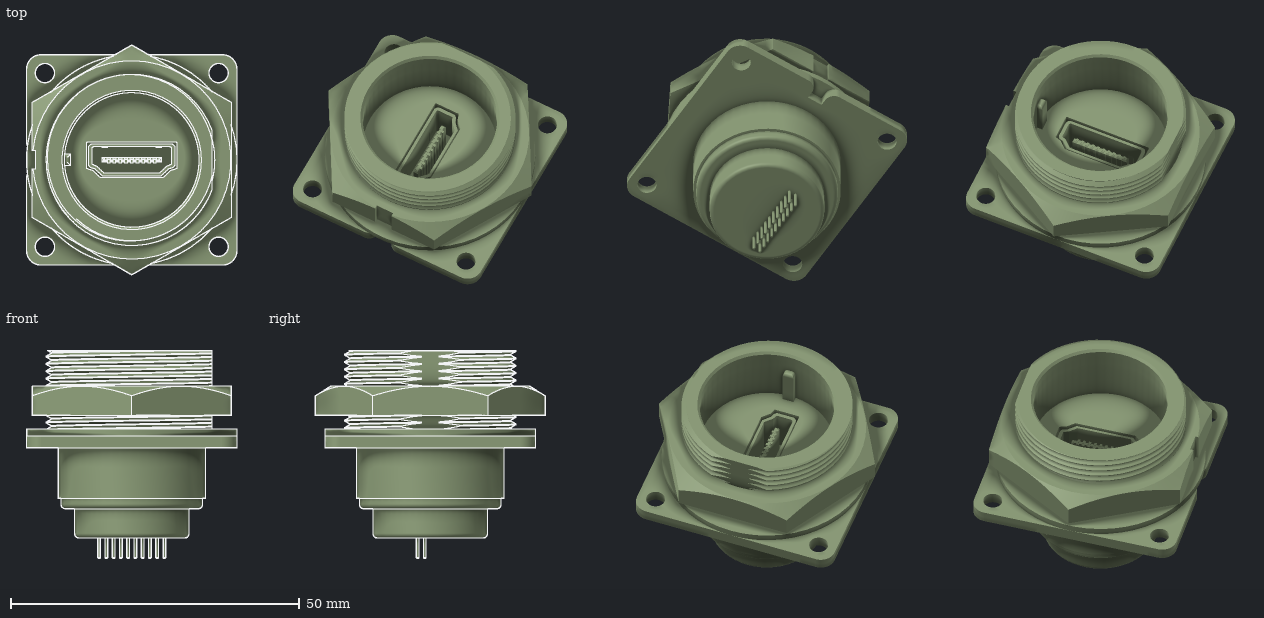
import cadquery as cq
import math


flange_width = 36.53
plate_thickness = 2.1
flange_top = 3.33
plate_corner_radius = 2.55
mount_hole_diameter = 3.3
mount_hole_spacing = 30.12
notch_half_width = 1.4
notch_depth = 3.0
notch_mouth_radius = 1.8

barrel_top = 16.9
thread_crest_radius = 14.85
thread_root_radius = 14.03
thread_pitch = 1.27
thread_crest_width = 0.16
thread_flank_angle = 30.0
thread_runout = 0.04
root_depth_at_start = 0.42
barrel_flat_x = 13.95

bore_radius = 11.68
bore_chamfer = 0.4
bore_floor = 6.2

key_half_width = 1.0
key_inner_x = -10.6
key_top = 13.0
key_lead_in_radius = 0.62

rear_radius = 12.8
rear_bottom = -8.76
step_radius = 12.3
step_bottom = -10.55
tail_radius = 9.95
tail_bottom = -15.62
rear_fillet = 0.75

socket_depth = 8.0
socket_corner_radius = 0.2
shell_recess = 0.3
shell_outer_corner_radius = 0.8
shell_inner_corner_radius = 0.4
shell_inner_back_y = 2.31

socket_outline = [(7.87, 3.1), (7.87, -1.46), (6.71, -1.85), (5.45, -3.07)]
shell_outer_outline = [(7.53, 2.8), (7.53, -1.2), (6.4, -1.55), (5.1, -2.76)]
shell_inner_outline = [(6.93, shell_inner_back_y), (6.93, -0.72), (6.05, -1.1), (4.8, -2.31)]

tongue_recess = 1.2
tongue_half_width = 5.18
tongue_front_y = -0.4
tongue_back_y = 0.45
tongue_chamfer = 0.25
contact_pitch = 1.0
contact_width = 0.45
contact_stand = 0.05
back_contact_count = 10
back_contact_y = (-0.02, tongue_back_y)
front_contact_count = 9
front_contact_y = (-0.55, 0.1)
spring_x = 4.7
spring_width = 1.0
spring_rise = 0.13
spring_top_height = 4.5

pin_diameter = 0.5
pin_bottom = -19.14
pin_tip_chamfer = 0.12
pin_pitch = 1.26
pins_per_row = 10
pin_row_y = (-0.95, -2.2)

nut_sides = 6
nut_corner_diameter = 39.89
nut_bottom = 5.65
nut_top = 10.75
nut_bore_radius = 14.4
nut_chamfer_radius = 17.2
nut_chamfer_drop = 1.7
nut_turning_margin = 1.0
nut_notch_width = 3.2
nut_notch_depth = 0.6


def cylinder(radius, bottom, top):
    return cq.Workplane("XY").workplane(offset=bottom).circle(radius).extrude(top - bottom)


def box(x_range, y_range, z_range):
    size = [high - low for low, high in (x_range, y_range, z_range)]
    corner = (x_range[0], y_range[0], z_range[0])
    return cq.Workplane("XY").box(*size, centered=False).translate(corner)


def make_groove_turns():
    """Right-hand helical V-groove between the thread crests, as one solid per turn.

    The turns follow on from each other and run out past both ends of the barrel.
    """
    flank_slope = math.tan(math.radians(thread_flank_angle))
    groove_outer_radius = thread_crest_radius + thread_runout
    half_mouth = (thread_pitch - thread_crest_width) / 2 + thread_runout * flank_slope
    half_root = half_mouth - (groove_outer_radius - thread_root_radius) * flank_slope
    turns_below = math.ceil((barrel_top - flange_top) / thread_pitch) + 1
    turns_above = 2
    start_z = barrel_top - root_depth_at_start - turns_below * thread_pitch
    path = cq.Wire.makeHelix(thread_pitch, thread_pitch, thread_root_radius)
    turn = (
        cq.Workplane("XZ")
        .moveTo(thread_root_radius, half_root)
        .lineTo(groove_outer_radius, half_mouth)
        .lineTo(groove_outer_radius, -half_mouth)
        .lineTo(thread_root_radius, -half_root)
        .close()
        .sweep(cq.Workplane(path), isFrenet=True)
        .rotate((0, 0, 0), (0, 0, 1), 180)
    )
    return [
        turn.translate((0, 0, start_z + index * thread_pitch)).val()
        for index in range(turns_below + turns_above)
    ]


def cut_thread(body, groove_turns):
    """Cut the groove turns that reach the body, in two sets of alternate turns that never touch."""
    bounds = body.val().BoundingBox()
    threaded = body.val()
    for first in (0, 1):
        tools = []
        for turn in groove_turns[first::2]:
            turn_bounds = turn.BoundingBox()
            if turn_bounds.zmax > bounds.zmin and turn_bounds.zmin < bounds.zmax:
                tools.append(turn)
        threaded = threaded.cut(*tools)
    return cq.Workplane(threaded)


def make_flange():
    half = flange_width / 2
    hole_offset = mount_hole_spacing / 2
    plate = (
        cq.Workplane("XY")
        .rect(flange_width, flange_width)
        .extrude(plate_thickness)
        .edges("|Z")
        .fillet(plate_corner_radius)
        .faces(">Z")
        .workplane()
        .pushPoints([(x, y) for x in (-hole_offset, hole_offset) for y in (-hole_offset, hole_offset)])
        .hole(mount_hole_diameter)
    )
    notch = box((-half, notch_depth - half), (-notch_half_width, notch_half_width), (0, plate_thickness))
    plate = plate.cut(notch)
    mouth_edges = cq.selectors.BoxSelector(
        (-half - notch_depth / 2, -2 * notch_half_width, 0),
        (-half + notch_depth / 2, 2 * notch_half_width, plate_thickness),
    )
    plate = plate.edges("|Z").edges(mouth_edges).fillet(notch_mouth_radius)
    return plate.union(cylinder(half, plate_thickness, flange_top))


def make_rear():
    step = cylinder(step_radius, step_bottom, 0).faces("<Z").edges().fillet(rear_fillet)
    tail = cylinder(tail_radius, tail_bottom, 0).faces("<Z").edges().fillet(rear_fillet)
    return cylinder(rear_radius, rear_bottom, plate_thickness).union(step).union(tail)


def make_key():
    """Rib on the bore wall whose upper end is rounded over on its three free sides."""
    wall_x = -(bore_radius + bore_chamfer)
    rib = box((wall_x, key_inner_x), (-key_half_width, key_half_width), (bore_floor, key_top))
    return rib.faces(">Z").edges("not <X").fillet(key_lead_in_radius)


def mirrored_outline(right_points):
    """Closed outline from its right-hand points, ordered top to bottom, mirrored about Y."""
    left_points = [(-x, y) for x, y in reversed(right_points)]
    return cq.Workplane("XY").polyline(right_points + left_points).close()


def make_socket():
    socket = mirrored_outline(socket_outline).extrude(-socket_depth)
    return socket.edges("|Z and >Y").fillet(socket_corner_radius).translate((0, 0, bore_floor))


def make_spring():
    """Shallow wedge standing on the back wall of the shell, highest at mid-length."""
    return (
        cq.Workplane("YZ")
        .moveTo(shell_inner_back_y, spring_top_height)
        .lineTo(shell_inner_back_y - spring_rise, spring_top_height / 2)
        .lineTo(shell_inner_back_y, 0)
        .close()
        .extrude(spring_width / 2, both=True)
    )


def make_shell():
    height = socket_depth - shell_recess
    outer = mirrored_outline(shell_outer_outline).extrude(height)
    outer = outer.edges("|Z and (>Y or <X or >X)").fillet(shell_outer_corner_radius)
    inner = mirrored_outline(shell_inner_outline).extrude(height)
    inner = inner.edges("|Z and >Y").fillet(shell_inner_corner_radius)
    shell = outer.cut(inner)
    for x in (-spring_x, spring_x):
        shell = shell.union(make_spring().translate((x, 0, 0)))
    return shell.translate((0, 0, bore_floor - socket_depth))


def make_tongue():
    socket_floor = bore_floor - socket_depth
    tongue_top = bore_floor - tongue_recess
    tongue = box(
        (-tongue_half_width, tongue_half_width),
        (tongue_front_y, tongue_back_y),
        (socket_floor, tongue_top),
    )
    tongue = tongue.faces(">Z").edges().chamfer(tongue_chamfer)
    for count, y_range in ((back_contact_count, back_contact_y), (front_contact_count, front_contact_y)):
        for index in range(count):
            x = (index - (count - 1) / 2) * contact_pitch
            x_range = (x - contact_width / 2, x + contact_width / 2)
            tongue = tongue.union(box(x_range, y_range, (socket_floor, tongue_top + contact_stand)))
    return tongue


def make_pins():
    first_x = -(pins_per_row - 1) / 2 * pin_pitch
    positions = [(first_x + i * pin_pitch, y) for y in pin_row_y for i in range(pins_per_row)]
    return (
        cq.Workplane("XY")
        .workplane(offset=pin_bottom)
        .pushPoints(positions)
        .circle(pin_diameter / 2)
        .extrude(tail_bottom - pin_bottom)
        .faces("<Z")
        .edges()
        .chamfer(pin_tip_chamfer)
    )


def make_barrel(groove_turns):
    """Threaded tube standing on the flange, with its flat, bored right through and carrying the key."""
    beyond_flat = box((barrel_flat_x, flange_width), (-flange_width, flange_width), (flange_top, barrel_top))
    blank = cylinder(thread_crest_radius, flange_top, barrel_top).cut(beyond_flat)
    return cut_thread(blank.cut(make_bore()).union(make_key()), groove_turns)


def make_bore():
    mouth = cq.Solid.makeCone(bore_radius, bore_radius + bore_chamfer, bore_chamfer)
    mouth = mouth.translate(cq.Vector(0, 0, barrel_top - bore_chamfer))
    return cylinder(bore_radius, flange_top, barrel_top).union(cq.Workplane(mouth))


def make_connector():
    """Flange, rear cylinders and pins, with a core up to the bore floor that carries the receptacle."""
    core = cylinder(bore_radius, 0, bore_floor)
    connector = make_flange().union(make_rear()).union(core).cut(make_socket())
    return connector.union(make_shell()).union(make_tongue()).union(make_pins())


def make_housing(groove_turns):
    return make_barrel(groove_turns).union(make_connector(), glue=True)


def make_nut(groove_turns):
    half_facet_angle = 180 / nut_sides
    across_flats = nut_corner_diameter * math.cos(math.radians(half_facet_angle))
    thickness = nut_top - nut_bottom
    blank = (
        cq.Workplane("XY")
        .polygon(nut_sides, nut_corner_diameter)
        .extrude(thickness)
        .rotate((0, 0, 0), (0, 0, 1), half_facet_angle)
        .translate((0, 0, nut_bottom))
    )
    corner_radius = nut_corner_diameter / 2
    chamfer_slope = nut_chamfer_drop / (corner_radius - nut_chamfer_radius)
    rim_radius = corner_radius + nut_turning_margin
    turned = (
        cq.Workplane("XZ")
        .moveTo(0, nut_bottom)
        .lineTo(rim_radius, nut_bottom)
        .lineTo(rim_radius, nut_top - (rim_radius - nut_chamfer_radius) * chamfer_slope)
        .lineTo(nut_chamfer_radius, nut_top)
        .lineTo(0, nut_top)
        .close()
        .revolve(360, (0, 0, 0), (0, 1, 0))
    )
    flat_x = -across_flats / 2
    notch = box(
        (flat_x, flat_x + nut_notch_depth),
        (-nut_notch_width / 2, nut_notch_width / 2),
        (nut_bottom, nut_top),
    )
    nut = blank.intersect(turned).cut(notch)
    bore = cylinder(nut_bore_radius, nut_bottom, nut_top)
    barrel_ridges = cut_thread(cylinder(thread_crest_radius, nut_bottom, nut_top).cut(bore), groove_turns)
    return nut.cut(bore).cut(barrel_ridges)


groove_turns = make_groove_turns()
housing = make_housing(groove_turns)
nut = make_nut(groove_turns)

result = cq.Compound.makeCompound([*housing.vals(), *nut.vals()])